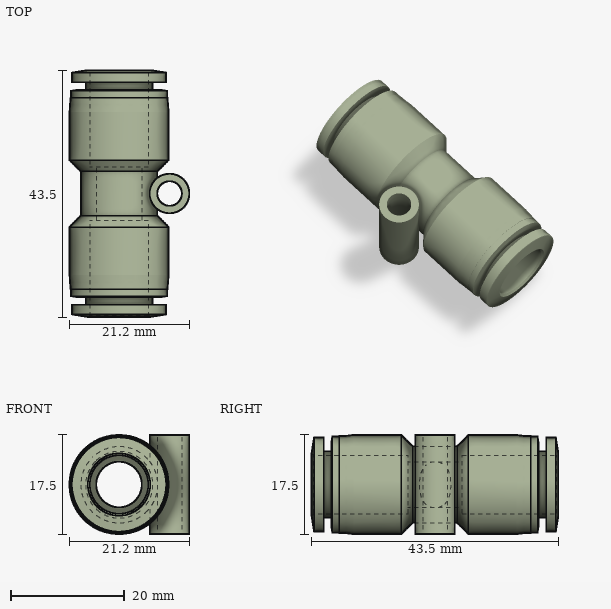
import cadquery as cq
import math

total_length = 43.5
half_length = total_length / 2

collar_diameter = 16.6
collar_rim_width = 1.7
collar_edge_inset = 0.15
collar_edge_length = 0.05
stem_diameter = 11.8
stem_gap = 1.3
face_slope = math.radians(9)

bore_diameter = 10.3
bore_lead_in = 0.35
bore_depth = 17.0
passage_diameter = 8.0

socket_diameter = 17.5
socket_nose_diameter = 17.0
socket_taper_small_diameter = 17.1
nose_flat_diameter = 14.5
nose_length = 1.2
socket_taper_length = 2.5
waist_diameter = 13.5
waist_half_length = 3.9

sleeve_diameter = 7.0
sleeve_hole_diameter = 4.3
sleeve_offset = 8.9
sleeve_height = socket_diameter

collar_radius = collar_diameter / 2
stem_radius = stem_diameter / 2
socket_radius = socket_diameter / 2
nose_radius = socket_nose_diameter / 2
nose_flat_radius = nose_flat_diameter / 2
taper_small_radius = socket_taper_small_diameter / 2
waist_radius = waist_diameter / 2
passage_radius = passage_diameter / 2
bore_radius = bore_diameter / 2
mouth_radius = bore_radius + bore_lead_in
collar_face_radius = collar_radius - collar_edge_inset
collar_face_edge = half_length - (collar_face_radius - mouth_radius) * math.tan(face_slope)
collar_rim_outer = collar_face_edge - collar_edge_length
collar_rim_inner = collar_rim_outer - collar_rim_width
nose_face = collar_rim_inner - stem_gap
nose_rim = nose_face - (nose_radius - nose_flat_radius) * math.tan(face_slope)
taper_outer = nose_rim - nose_length
taper_inner = taper_outer - socket_taper_length
socket_shoulder = waist_half_length + socket_radius - waist_radius


def make_fitting():
    """Revolve the body, both collars and the stepped through bore about the Y axis."""
    outside = [
        (waist_radius, waist_half_length),
        (socket_radius, socket_shoulder),
        (socket_radius, taper_inner),
        (taper_small_radius, taper_outer),
        (nose_radius, taper_outer),
        (nose_radius, nose_rim),
        (nose_flat_radius, nose_face),
        (stem_radius, nose_face),
        (stem_radius, collar_rim_inner),
        (collar_radius, collar_rim_inner),
        (collar_radius, collar_rim_outer),
        (collar_face_radius, collar_face_edge),
    ]
    inside = [
        (mouth_radius, half_length),
        (bore_radius, half_length - bore_lead_in),
        (bore_radius, half_length - bore_depth),
        (passage_radius, half_length - bore_depth),
    ]
    half_profile = outside + inside
    mirrored_profile = [(radius, -y) for radius, y in reversed(half_profile)]
    profile = cq.Workplane("XY").polyline(half_profile + mirrored_profile).close()
    return profile.revolve(360, (0, 0, 0), (0, 1, 0))


def sleeve_cylinder(diameter):
    """Cylinder on the sleeve axis, as tall as the sleeve."""
    base = cq.Workplane("XY", origin=(sleeve_offset, 0, -sleeve_height / 2))
    return base.circle(diameter / 2).extrude(sleeve_height)


fitting = make_fitting().union(sleeve_cylinder(sleeve_diameter))
result = fitting.cut(sleeve_cylinder(sleeve_hole_diameter))